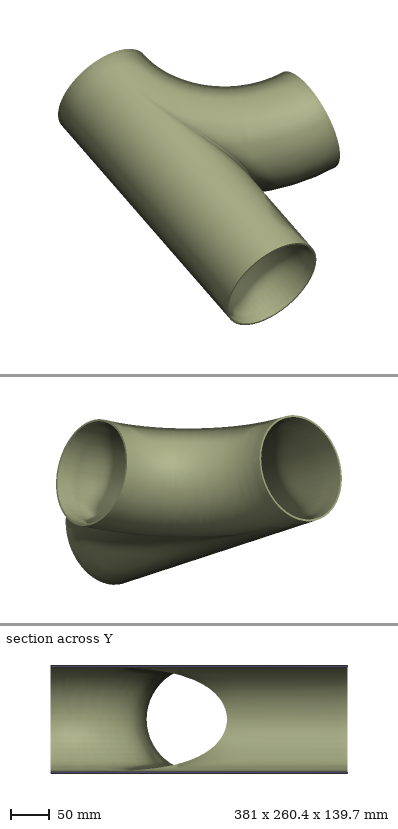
import math

import cadquery as cq

outer_diameter = 139.7
inner_diameter = 134.5
bend_radius = 190.5
run_length = 2 * bend_radius
bend_angle = 90

inlet_x = -run_length / 2

fillet_radius = 2.0
fillet_overlap = 0.02
root_depth = 1.0
fillet_start_angle = 12
fillet_sections = 37


def straight_run(diameter):
    """Solid cylinder along X over the full length of the run."""
    return cq.Workplane("YZ", origin=(inlet_x, 0, 0)).circle(diameter / 2).extrude(run_length)


def elbow(diameter):
    """Solid quarter bend that starts on the inlet end face and turns towards +Y."""
    return (
        cq.Workplane("YZ", origin=(inlet_x, 0, 0))
        .circle(diameter / 2)
        .revolve(bend_angle, (bend_radius, 0, 0), (bend_radius, 1, 0))
    )


def fillet_section(angle):
    """Section of the bead, at an angle round the run measured from +Z towards +Y.

    A ball touching both pipes has its centre at the same distance from both pipe axes. Its
    distance along the run from the inlet then follows travel^2 = 4 * bend_radius * y.
    """
    centre_distance = outer_diameter / 2 + fillet_radius
    y = centre_distance * math.sin(angle)
    z = centre_distance * math.cos(angle)
    travel = math.sqrt(4 * bend_radius * y)
    centre = cq.Vector(inlet_x + travel, y, z)

    run_normal = cq.Vector(0, math.sin(angle), math.cos(angle))
    bend_direction = cq.Vector(travel, y - bend_radius, 0).normalized()
    elbow_normal = bend_direction * math.sin(angle) + cq.Vector(0, 0, math.cos(angle))

    middle_normal = (run_normal + elbow_normal).normalized()
    arc_radius = fillet_radius + fillet_overlap
    root_distance = (fillet_radius + root_depth) / middle_normal.dot(run_normal)
    run_contact = centre - run_normal * arc_radius
    arc_middle = centre - middle_normal * arc_radius
    elbow_contact = centre - elbow_normal * arc_radius
    root = centre - middle_normal * root_distance
    return cq.Wire.assembleEdges(
        [
            cq.Edge.makeThreePointArc(run_contact, arc_middle, elbow_contact),
            cq.Edge.makeLine(elbow_contact, root),
            cq.Edge.makeLine(root, run_contact),
        ]
    )


def fillet_bead():
    """Bead lofted along the whole crease, from the top round the +Y side to the bottom."""
    first_angle = math.radians(fillet_start_angle)
    step = (math.pi - 2 * first_angle) / (fillet_sections - 1)
    sections = [fillet_section(first_angle + i * step) for i in range(fillet_sections)]
    return cq.Workplane(cq.Solid.makeLoft(sections))


body = straight_run(outer_diameter).union(elbow(outer_diameter))
tee = body.cut(straight_run(inner_diameter)).cut(elbow(inner_diameter))
result = tee.union(fillet_bead())